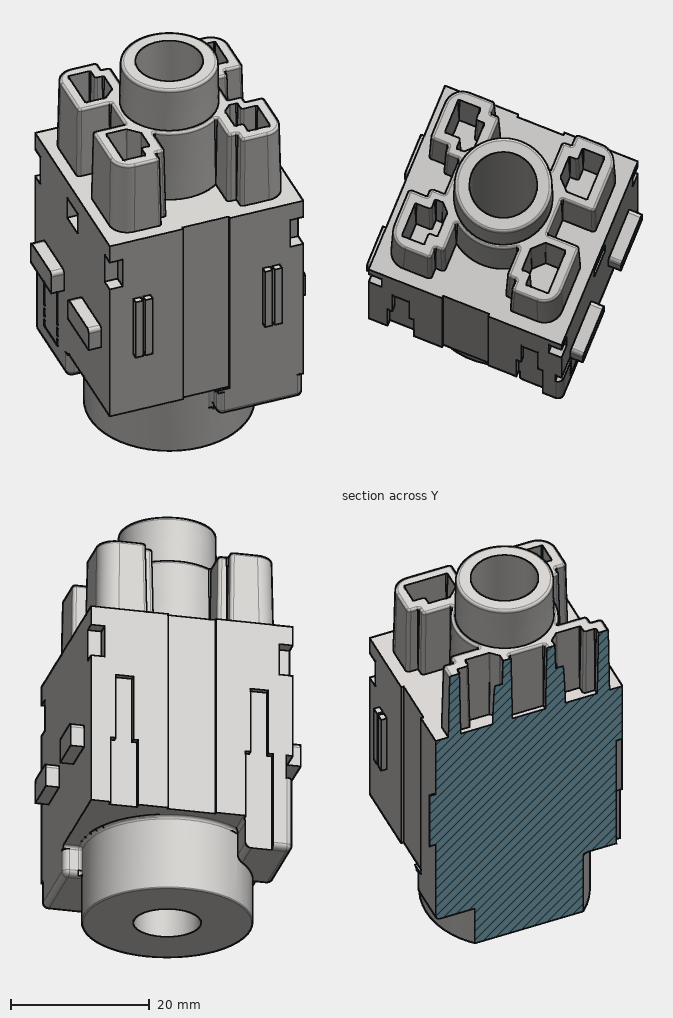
import cadquery as cq
import math

SIDES = (-1, 1)
tolerance = 0.005
edge_search = 0.5

overall_height = 61.1
overall_y = 34.0
body_x = 29.4
body_y = 30.0
body_bottom = 11.4
body_top = 42.05
half_x = body_x / 2
half_y = body_y / 2

bore_diameter = 9.8
tube_radius = 7.15
sleeve_radius = 12.35
sleeve_edge_round = 0.2
tube_edge_round = 0.4

tower_top = 53.9
tower_height = tower_top - body_top
tower_draft = 1.0
tower_half_x = 12.7
tower_half_y = 13.2
tower_corner_round = 2.75
tower_edge_round = 0.35
tower_small_round = 0.5
hub_radius = 7.95
slot_half_width = 2.55
web_half_y = 8.2
rear_step_x = 3.85
rear_step_y = 10.4
side_step_x = 10.95
side_step_y = 6.1
side_slot_half_y = 4.7

pocket_outer_x = 10.7
pocket_outer_y = 11.2
pocket_inner_x = 4.3
pocket_inner_y = 6.8
pocket_notch_x = 8.85
pocket_notch_y = 8.1
pocket_draft = 1.0
pocket_notch_round = 0.35
pocket_rear_step_x = 5.85
pocket_rear_step_y = 8.75
front_pocket_chamfer = 1.5
rear_pocket_chamfer = 1.05

recess_top = 39.1
corner_recess_height = 4.8
window_height = 3.55
window_width = 4.1
recess_depth = 2.0

tab_bottom = 21.6
tab_height = 3.6
tab_projection = (overall_y - body_y) / 2
tab_center_x = 7.35
front_tab_width = 8.2
rear_tab_width = 6.3
tab_round = 0.6

coupling_center_y = 10.0
rib_width = 2.6
rib_projection = 0.9
rib_top = 31.6
rib_slit = 0.35
channel_depth = 0.9
channel_width = 4.1
relief_width = 7.15
relief_depth = 0.4

foot_bottom = 6.85
foot_top = 18.1
foot_x = 12.9
foot_y = 6.85
foot_round = 0.9
foot_bottom_round = 0.85
rear_foot_y = 13.15
root_round = 0.5

latch_depth = 1.0
latch_slot_left = -11.25
latch_slot_right = -5.85
latch_slot_bottom = 9.8
latch_side_gap = 0.35
latch_top_gap = 0.35
latch_bottom_gap = 0.1
latch_rib_height = 0.7
latch_rib_levels = (10.9, 12.9)


def box(x0, x1, y0, y1, z0, z1):
    """Axis-aligned block between two opposite corners."""
    block = cq.Workplane("XY").box(x1 - x0, y1 - y0, z1 - z0, centered=False)
    return block.translate((x0, y0, z0))


def upright_edge(solid, x, y):
    """Select the nearly vertical edge that passes close to (x, y) at mid-height of the tower."""
    near = (x - edge_search, y - edge_search, body_top + tower_edge_round)
    far = (x + edge_search, y + edge_search, tower_top - tower_edge_round)
    return solid.edges(cq.selectors.BoxSelector(near, far))


def make_tower():
    """Drafted four-lobed tower around the hub."""
    flank_x = math.sqrt(hub_radius**2 - side_slot_half_y**2)
    right_front = [
        (slot_half_width, -web_half_y),
        (slot_half_width, -tower_half_y),
        (tower_half_x, -tower_half_y),
        (tower_half_x, -side_step_y),
        (side_step_x, -side_step_y),
        (side_step_x, -side_slot_half_y),
        (flank_x, -side_slot_half_y),
    ]
    right_rear = [
        (flank_x, side_slot_half_y),
        (side_step_x, side_slot_half_y),
        (side_step_x, side_step_y),
        (tower_half_x, side_step_y),
        (tower_half_x, tower_half_y),
        (rear_step_x, tower_half_y),
        (rear_step_x, rear_step_y),
        (slot_half_width, rear_step_y),
        (slot_half_width, web_half_y),
    ]
    left_rear = [(-x, y) for x, y in reversed(right_rear)]
    left_front = [(-x, y) for x, y in reversed(right_front)]
    outline = cq.Workplane("XY", origin=(0, 0, body_top)).polyline(right_front)
    outline = outline.threePointArc((hub_radius, 0), right_rear[0])
    outline = outline.polyline(right_rear[1:] + left_rear, includeCurrent=True)
    outline = outline.threePointArc((-hub_radius, 0), left_front[0])
    outline = outline.polyline(left_front[1:], includeCurrent=True)
    tower = outline.close().extrude(tower_height, taper=tower_draft)
    for x in (-tower_half_x, tower_half_x):
        for y in (-tower_half_y, tower_half_y):
            tower = upright_edge(tower, x, y).fillet(tower_corner_round)
    small_corners = [
        (slot_half_width, -tower_half_y),
        (tower_half_x, -side_step_y),
        (side_step_x, -side_slot_half_y),
        (side_step_x, side_slot_half_y),
        (tower_half_x, side_step_y),
        (rear_step_x, tower_half_y),
        (slot_half_width, rear_step_y),
    ]
    for x, y in small_corners:
        tower = upright_edge(tower, x, y).fillet(tower_small_round)
        tower = upright_edge(tower, -x, y).fillet(tower_small_round)
    return tower.faces(">Z").edges().fillet(tower_edge_round)


def make_pockets():
    """Four contact pockets, mirrored left to right."""
    front = [
        (pocket_outer_x, -pocket_outer_y),
        (pocket_outer_x, -pocket_notch_y),
        (pocket_notch_x, -pocket_notch_y),
        (pocket_notch_x, -pocket_inner_y),
        (pocket_inner_x + front_pocket_chamfer, -pocket_inner_y),
        (pocket_inner_x, -pocket_inner_y - front_pocket_chamfer),
        (pocket_inner_x, -pocket_outer_y),
    ]
    rear = [
        (pocket_outer_x, pocket_outer_y),
        (pocket_outer_x, pocket_notch_y),
        (pocket_notch_x, pocket_notch_y),
        (pocket_notch_x, pocket_inner_y),
        (pocket_inner_x + rear_pocket_chamfer, pocket_inner_y),
        (pocket_inner_x, pocket_inner_y + rear_pocket_chamfer),
        (pocket_inner_x, pocket_rear_step_y),
        (pocket_rear_step_x, pocket_rear_step_y),
        (pocket_rear_step_x, pocket_outer_y),
    ]
    front_notches = [(pocket_notch_x, -pocket_notch_y)]
    rear_notches = [(pocket_notch_x, pocket_notch_y), (pocket_rear_step_x, pocket_rear_step_y)]
    pockets = cq.Workplane("XY")
    for outline, notches in ((front, front_notches), (rear, rear_notches)):
        floor = cq.Workplane("XY", origin=(0, 0, body_top)).polyline(outline).close()
        pocket = floor.extrude(tower_height, taper=-pocket_draft)
        for x, y in notches:
            pocket = upright_edge(pocket, x, y).fillet(pocket_notch_round)
        pockets = pockets.add(pocket).add(pocket.mirror("YZ"))
    return pockets.combine()


def make_tab(width, center_x, side):
    """Locking tab on the face at Y = side * half_y, rounded on top."""
    y0, y1 = sorted((side * half_y, side * (half_y + tab_projection)))
    tab = box(center_x - width / 2, center_x + width / 2, y0, y1, tab_bottom, tab_bottom + tab_height)
    return tab.edges("|Y and >Z").fillet(tab_round)


def is_root_edge(edge):
    """True for the inner corners where body, feet and sleeve meet on the underside."""
    bounds = edge.BoundingBox()
    middle = edge.positionAt(0.5)
    on_sleeve = abs(math.hypot(middle.x, middle.y) - sleeve_radius) < tolerance
    outer_side = abs(abs(middle.x) - half_x) < tolerance or abs(abs(middle.y) - half_y) < tolerance
    if bounds.zmax > body_bottom + tolerance or outer_side:
        return False
    on_underside = abs(bounds.zmin - body_bottom) < tolerance
    starts_at_foot = abs(bounds.zmin - foot_bottom) < tolerance
    upright = bounds.zlen > root_round
    rear_foot_to_sleeve = on_sleeve and middle.y > 0 and starts_at_foot and upright
    return on_underside or rear_foot_to_sleeve


def make_base():
    """Body block with two feet and the cable sleeve, blended where they meet."""
    base = box(-half_x, half_x, -half_y, half_y, body_bottom, body_top)
    base = base.cut(box(-half_x, -half_x + foot_round, -half_y, -half_y + foot_round, body_bottom, foot_top))
    front_bounds = (-half_x, foot_x - half_x, -half_y, foot_y - half_y)
    rear_bounds = (half_x - foot_x, half_x, half_y - rear_foot_y, half_y)
    base = base.union(box(*front_bounds, foot_bottom, foot_top).edges("|Z and <X and <Y").fillet(foot_round))
    base = base.union(box(*rear_bounds, foot_bottom, body_bottom))
    sleeve = cq.Workplane("XY").circle(sleeve_radius).extrude(body_bottom)
    sleeve = sleeve.faces("<Z").edges().fillet(sleeve_edge_round)
    base = base.union(sleeve)
    roots = [edge for edge in base.edges().vals() if is_root_edge(edge)]
    base = base.newObject(roots).fillet(root_round)

    for bounds in (front_bounds, rear_bounds):
        block = box(*bounds, foot_bottom, body_bottom)
        rounded = block.edges("|Z").fillet(foot_round).faces("<Z").edges().fillet(foot_bottom_round)
        free_part = box(*bounds, foot_bottom, body_bottom - root_round)
        base = base.cut(free_part.cut(rounded))
    return base.union(sleeve)


def make_tube():
    """Tube that rises above the tower, slightly drafted."""
    tube = cq.Workplane("XY", origin=(0, 0, tower_top)).circle(tube_radius)
    tube = tube.extrude(overall_height - tower_top, taper=tower_draft)
    return tube.faces(">Z").edges().fillet(tube_edge_round)


def cut_pry_recesses(body):
    """Notches in the four upright edges and a window in the front face."""
    for side_x in SIDES:
        x0, x1 = sorted((side_x * half_x, side_x * (half_x - recess_depth)))
        for side_y in SIDES:
            y0, y1 = sorted((side_y * half_y, side_y * (half_y - recess_depth)))
            body = body.cut(box(x0, x1, y0, y1, recess_top - corner_recess_height, recess_top))
    window_x = window_width / 2
    window_bottom = recess_top - window_height
    return body.cut(box(-window_x, window_x, -half_y, recess_depth - half_y, window_bottom, recess_top))


def add_tabs(body):
    """Two tabs on the front face and two narrower ones on the rear face."""
    for side_x in SIDES:
        body = body.union(make_tab(front_tab_width, side_x * tab_center_x, -1))
        body = body.union(make_tab(rear_tab_width, side_x * tab_center_x, 1))
    return body


def cut_side_reliefs(body):
    """Shallow full-height relief in the middle of the -X and +X faces."""
    relief_y = relief_width / 2
    for side_x in SIDES:
        x0, x1 = sorted((side_x * half_x, side_x * (half_x - relief_depth)))
        body = body.cut(box(x0, x1, -relief_y, relief_y, body_bottom, body_top))
    return body


def add_couplings(body):
    """Stepped channels in the -X face and slit ribs on the +X face."""
    channel_floor = channel_depth - half_x
    rib_face = half_x + rib_projection
    for side_y in SIDES:
        center_y = side_y * coupling_center_y
        rib_y = (center_y - rib_width / 2, center_y + rib_width / 2)
        wide_y = (center_y - channel_width / 2, center_y + channel_width / 2)
        slit_y = (center_y - rib_slit / 2, center_y + rib_slit / 2)
        body = body.cut(box(-half_x, channel_floor, *rib_y, tab_bottom, rib_top))
        body = body.cut(box(-half_x, channel_floor, *wide_y, foot_bottom, tab_bottom))
        rib = box(half_x, rib_face, *rib_y, tab_bottom, rib_top)
        body = body.union(rib.cut(box(half_x, rib_face, *slit_y, tab_bottom, rib_top)))
    return body


def cut_latch(body):
    """Narrow gap around the latch panel, bridged by ribs, and the open corner beside it."""
    depth_y = (-half_y, latch_depth - half_y)
    recess = box(latch_slot_left, latch_slot_right, *depth_y, latch_slot_bottom, tab_bottom)
    recess = recess.union(box(-half_x, latch_slot_left, *depth_y, foot_top, tab_bottom))
    panel_x = (latch_slot_left + latch_side_gap, latch_slot_right - latch_side_gap)
    panel = box(*panel_x, *depth_y, latch_slot_bottom + latch_bottom_gap, tab_bottom - latch_top_gap)
    for level in latch_rib_levels:
        rib = box(latch_slot_left, latch_slot_right, *depth_y, level, level + latch_rib_height)
        panel = panel.union(rib)
    return body.cut(recess.cut(panel))


body = make_base().union(make_tower()).union(make_tube())
body = cut_pry_recesses(body)
body = add_tabs(body)
body = cut_side_reliefs(body)
body = add_couplings(body)
body = cut_latch(body)
body = body.cut(make_pockets())
bore = cq.Workplane("XY").circle(bore_diameter / 2).extrude(overall_height)
result = body.cut(bore)